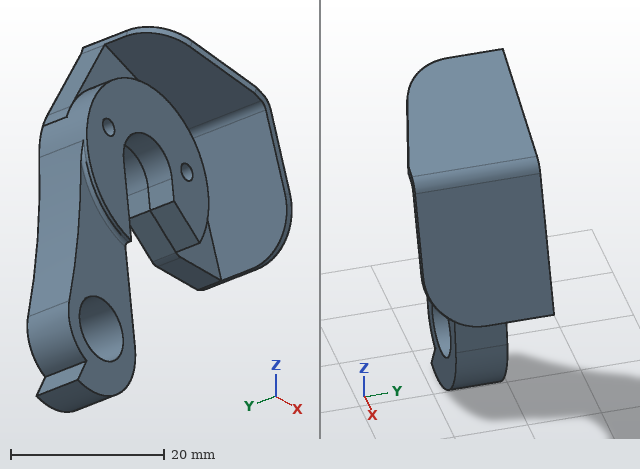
import cadquery as cq
import math


disc_radius = 12.5
disc_depth = 8.1
slot_radius = 5.0
slot_tilt = math.radians(8)
slot_end = (5.4, -2.5)
disc_end_x = 10.65
arm_depth = 7.0
step_fillet = 0.5
arm_start_z = -0.7
arm_middle = (-12.85, -12.95)
boss_center = (-8.25, -26.75)
boss_radius = 6.75
boss_start = math.radians(167)
bore_diameter = 9.0
hook_radius = 9.0
hook_bottom_z = -36.8
hook_tip_x = -13.05
notch_x = -11.3
pin_hole_diameter = 2.4
pin_hole_x = 8.0
pin_hole_z = 2.85

base_depth = 4.05
base_end_z = 4.2
flange_thickness = 1.1
flange_depth = 17.0
bend_corner = (14.0, 12.9)
top_length = 18.7
side_length = 20.65
flange_tilt = math.radians(20)
inner_bend_radius = 3.2 / 2
base_corner_radius = inner_bend_radius
top_bevel_length = 15.9
top_bevel_angle = math.radians(14)
top_corner_radius = 7.0
side_corner_radius = 7.85

margin = 56.1

cos_tilt = math.cos(flange_tilt)
sin_tilt = math.sin(flange_tilt)


def polar(radius, angle, center=(0, 0)):
    return (center[0] + radius * math.cos(angle), center[1] + radius * math.sin(angle))


def circle_z_below(center, radius, x):
    """Z of the lower point of a circle at the given X."""
    return center[1] - math.sqrt(radius**2 - (x - center[0])**2)


def extruded(profile, depth):
    """Extrude a closed XZ profile forward, toward -Y."""
    return profile.close().extrude(depth)


def drill(body, x, z, diameter):
    return body.cut(cq.Workplane("XZ").center(x, z).circle(diameter / 2).extrude(margin))


slot_right = polar(slot_radius, slot_tilt)
slot_left = polar(slot_radius, math.pi + slot_tilt)
disc_end = (disc_end_x, circle_z_below((0, 0), disc_radius, disc_end_x))


def hanger_blank():
    hook_z = hook_bottom_z + hook_radius
    hook_x = (-slot_radius - hook_radius - hook_z * math.sin(slot_tilt)) / math.cos(slot_tilt)
    hook_center = (hook_x, hook_z)
    hook_tip = (hook_tip_x, circle_z_below(hook_center, hook_radius, hook_tip_x))
    notch = (notch_x, circle_z_below(boss_center, boss_radius, notch_x))
    notch_angle = math.atan2(notch[1] - boss_center[1], notch[0] - boss_center[0]) + 2 * math.pi
    arm_start = (-math.sqrt(disc_radius**2 - arm_start_z**2), arm_start_z)
    profile = (
        cq.Workplane("XZ")
        .moveTo(*disc_end)
        .lineTo(*slot_end)
        .lineTo(*slot_right)
        .threePointArc((0, slot_radius), slot_left)
        .lineTo(*polar(hook_radius, slot_tilt, hook_center))
        .threePointArc((hook_x, hook_bottom_z), hook_tip)
        .lineTo(*notch)
        .threePointArc(
            polar(boss_radius, (notch_angle + boss_start) / 2, boss_center),
            polar(boss_radius, boss_start, boss_center),
        )
        .threePointArc(arm_middle, arm_start)
        .threePointArc((0, disc_radius), disc_end)
    )
    return extruded(profile, disc_depth)


def arm_step():
    """Ring around the disc that lowers the arm face and leaves a concave blend."""
    blend_center = (disc_radius + step_fillet, -arm_depth - step_fillet)
    blend_middle = polar(step_fillet, math.radians(135), blend_center)
    return (
        cq.Workplane("XY")
        .moveTo(disc_radius, -disc_depth)
        .lineTo(disc_radius, -arm_depth - step_fillet)
        .threePointArc(blend_middle, (disc_radius + step_fillet, -arm_depth))
        .lineTo(margin, -arm_depth)
        .lineTo(margin, -disc_depth)
        .close()
        .revolve(360, (0, 0, 0), (0, 1, 0))
    )


def guard_recess():
    """Space behind the disc that the guard base fills."""
    profile = (
        cq.Workplane("XZ")
        .moveTo(-margin, base_end_z)
        .lineTo(0, base_end_z)
        .lineTo(0, -margin)
        .lineTo(margin, -margin)
        .lineTo(margin, margin)
        .lineTo(-margin, margin)
    )
    return extruded(profile, base_depth)


def make_hanger():
    body = hanger_blank().cut(arm_step()).cut(guard_recess())
    body = drill(body, *boss_center, bore_diameter)
    for x in (-pin_hole_x, pin_hole_x):
        body = drill(body, x, pin_hole_z, pin_hole_diameter)
    return body


top_end = (bend_corner[0] - top_length * cos_tilt, bend_corner[1] + top_length * sin_tilt)
side_end = (bend_corner[0] + side_length * sin_tilt, bend_corner[1] - side_length * cos_tilt)
top_end_inner = (top_end[0] - flange_thickness * sin_tilt, top_end[1] - flange_thickness * cos_tilt)
side_end_inner = (side_end[0] - flange_thickness * cos_tilt, side_end[1] - flange_thickness * sin_tilt)
inner_offset = flange_thickness / (cos_tilt + sin_tilt)
inner_corner = (bend_corner[0] - inner_offset, bend_corner[1] - inner_offset)


def fillet_near(shape, point, depth, radius):
    selector = cq.selectors.NearestToPointSelector((point[0], -depth, point[1]))
    return shape.edges(selector).fillet(radius)


def make_flange():
    profile = (
        cq.Workplane("XZ")
        .moveTo(*top_end)
        .lineTo(*bend_corner)
        .lineTo(*side_end)
        .lineTo(*side_end_inner)
        .lineTo(*inner_corner)
        .lineTo(*top_end_inner)
    )
    body = extruded(profile, flange_depth)

    bevel_rise = top_bevel_length * math.tan(top_bevel_angle)
    top_face = cq.Plane(
        origin=(top_end[0], 0, top_end[1]), xDir=(cos_tilt, 0, -sin_tilt), normal=(sin_tilt, 0, cos_tilt)
    )
    bevel = (
        cq.Workplane(top_face)
        .moveTo(0, -flange_depth + bevel_rise)
        .lineTo(top_bevel_length, -flange_depth)
        .lineTo(0, -flange_depth)
        .close()
        .extrude(-flange_thickness)
    )
    body = body.cut(bevel)

    top_middle = ((top_end[0] + top_end_inner[0]) / 2, (top_end[1] + top_end_inner[1]) / 2)
    side_middle = ((side_end[0] + side_end_inner[0]) / 2, (side_end[1] + side_end_inner[1]) / 2)
    body = fillet_near(body, top_middle, flange_depth - bevel_rise, top_corner_radius)
    body = fillet_near(body, side_middle, flange_depth, side_corner_radius)
    body = fillet_near(body, inner_corner, flange_depth / 2, inner_bend_radius)
    return fillet_near(body, bend_corner, flange_depth / 2, inner_bend_radius + flange_thickness)


def make_base():
    tangent_angle = math.atan2(top_end_inner[1], top_end_inner[0])
    tangent_angle += math.acos(disc_radius / math.hypot(*top_end_inner))
    left_end_angle = math.pi - math.asin(base_end_z / disc_radius)
    left_end = polar(disc_radius, left_end_angle)
    slot_start = (-math.sqrt(slot_radius**2 - base_end_z**2), base_end_z)
    bottom_z = side_end_inner[1]
    cut_slope = (disc_end[0] - slot_end[0]) / (disc_end[1] - slot_end[1])
    bottom_corner = (slot_end[0] + (bottom_z - slot_end[1]) * cut_slope, bottom_z)
    profile = (
        cq.Workplane("XZ")
        .moveTo(*top_end_inner)
        .lineTo(*polar(disc_radius, tangent_angle))
        .threePointArc(polar(disc_radius, (tangent_angle + left_end_angle) / 2), left_end)
        .lineTo(*slot_start)
        .threePointArc((0, slot_radius), slot_right)
        .lineTo(*slot_end)
        .lineTo(*bottom_corner)
        .lineTo(*side_end_inner)
        .lineTo(*inner_corner)
    )
    body = extruded(profile, base_depth)
    corner = cq.selectors.NearestToPointSelector((bottom_corner[0], -base_depth / 2, bottom_z))
    body = body.edges(corner).fillet(base_corner_radius)
    return drill(body, pin_hole_x, pin_hole_z, pin_hole_diameter)


def make_guard():
    return make_base().union(make_flange())


hanger = make_hanger()
guard = make_guard()
result = cq.Compound.makeCompound([hanger.val(), guard.val()])